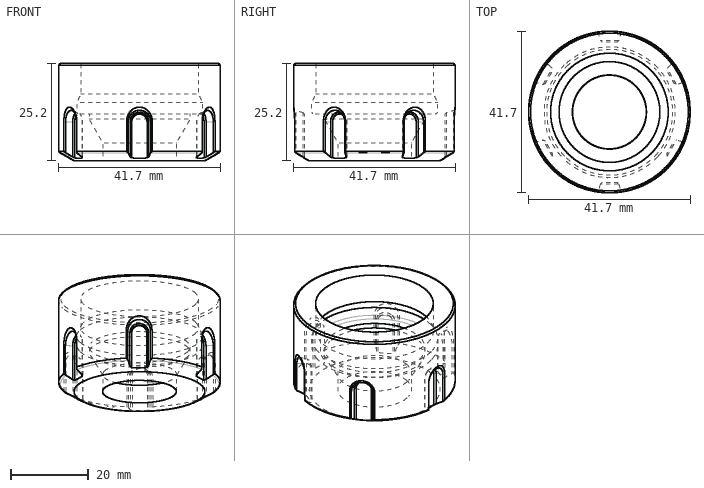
import cadquery as cq
import math

outer_radius = 20.85
height = 25.2
top_chamfer = 0.5
base_radius = 16.9
base_cone_angle = 30.0
base_edge_chamfer = 0.4
base_edge_height = 2.5

bore_radius = 15.18
bore_depth = 7.85
relief_radius = 16.242
relief_taper_height = 2.3
relief_wall_height = 2.9
relief_fillet = 0.7
lip_radius = 13.0
lip_height = 1.35
exit_radius = 9.5
seat_angle = 30.0

slot_count = 6
slot_arc_height = 10.15
floor_half_width, floor_distance = 1.95, 18.1
wall_foot_half_width, wall_foot_distance = 2.38, 18.47
wall_top_half_width, wall_top_distance = 2.9, 20.3
mouth_half_width, mouth_distance = 3.7, 20.85
clearance = 2.1

relief_top = height - bore_depth
relief_wall_top = relief_top - relief_taper_height
relief_floor = relief_wall_top - relief_wall_height
seat_top = relief_floor - lip_height
seat_bottom = seat_top - (lip_radius - exit_radius) / math.tan(math.radians(seat_angle))
cone_top_radius = outer_radius - base_edge_chamfer
base_cone_height = (cone_top_radius - base_radius) * math.tan(math.radians(base_cone_angle))


def make_body():
    """Solid of revolution with a coned base and broken outer edges."""
    profile = (
        cq.Workplane("XZ")
        .moveTo(0, 0)
        .lineTo(base_radius, 0)
        .lineTo(cone_top_radius, base_cone_height)
        .lineTo(outer_radius, base_edge_height)
        .lineTo(outer_radius, height)
        .lineTo(0, height)
        .close()
    )
    body = profile.revolve(360, (0, 0, 0), (0, 1, 0))
    return body.faces(">Z").edges().chamfer(top_chamfer)


def make_bore():
    """Stepped bore with an undercut relief, a lip and a conical seat."""
    return (
        cq.Workplane("XZ")
        .moveTo(0, 0)
        .lineTo(exit_radius, 0)
        .lineTo(exit_radius, seat_bottom)
        .lineTo(lip_radius, seat_top)
        .lineTo(lip_radius, relief_floor)
        .lineTo(relief_radius - relief_fillet, relief_floor)
        .radiusArc((relief_radius, relief_floor + relief_fillet), -relief_fillet)
        .lineTo(relief_radius, relief_wall_top)
        .lineTo(bore_radius, relief_top)
        .lineTo(bore_radius, height)
        .lineTo(0, height)
        .close()
        .revolve(360, (0, 0, 0), (0, 1, 0))
    )


def make_slot_cutter():
    """Flaring slot facing -Y: straight below, half round at the top."""
    mouth_slope = (mouth_half_width - wall_top_half_width) / (mouth_distance - wall_top_distance)
    section = [
        (floor_half_width, floor_distance),
        (wall_foot_half_width, wall_foot_distance),
        (wall_top_half_width, wall_top_distance),
        (mouth_half_width + mouth_slope * clearance, mouth_distance + clearance),
    ]
    right_side = [(half_width, -distance) for half_width, distance in section]
    left_side = [(-half_width, -distance) for half_width, distance in reversed(section)]
    length = slot_arc_height + clearance
    channel = cq.Workplane("XY").polyline(right_side + left_side).close().extrude(length)
    channel = channel.translate((0, 0, -clearance))
    half_section = [(0, -floor_distance)] + right_side + [(0, -mouth_distance - clearance)]
    rounded_end = (
        cq.Workplane("XY")
        .polyline(half_section)
        .close()
        .revolve(360, (0, 0, 0), (0, 1, 0))
        .translate((0, 0, slot_arc_height))
    )
    return channel.union(rounded_end)


result = make_body().cut(make_bore())
slot_cutter = make_slot_cutter()
for index in range(slot_count):
    slot_angle = index * 360 / slot_count
    result = result.cut(slot_cutter.rotate((0, 0, 0), (0, 0, 1), slot_angle))